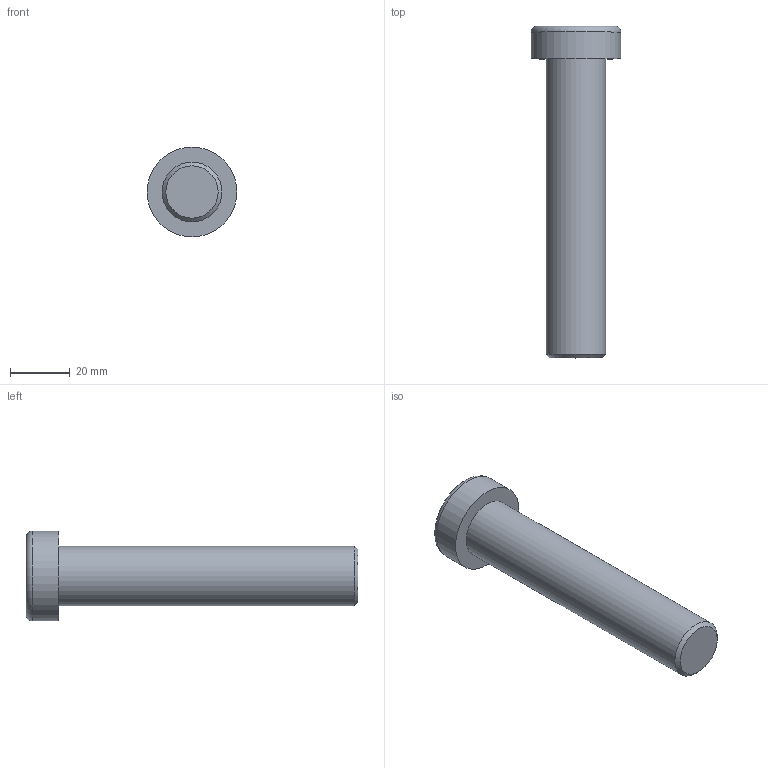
import cadquery as cq

SHANK_DIAMETER = 20.0
SHANK_LENGTH = 100.0
TIP_CHAMFER = 1.25
HEAD_DIAMETER = 30.0
HEAD_LENGTH = 11.0
HEAD_EDGE_RADIUS = 2.0


def make_shank():
    """Cylinder running from the head towards -Y, with a chamfered tip."""
    shank = cq.Workplane("XZ").circle(SHANK_DIAMETER / 2).extrude(SHANK_LENGTH)
    return shank.faces("<Y").edges().chamfer(TIP_CHAMFER)


def make_head():
    """Cylindrical head on the +Y side, with its outer end edge rounded."""
    head = cq.Workplane("XZ").circle(HEAD_DIAMETER / 2).extrude(-HEAD_LENGTH)
    return head.faces(">Y").edges().fillet(HEAD_EDGE_RADIUS)


result = make_head().union(make_shank())